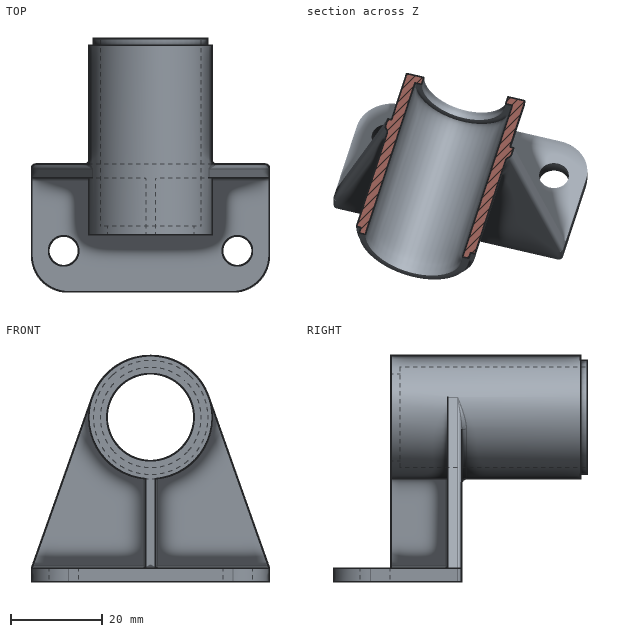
import cadquery as cq
import math

BASE_WIDTH = 52.0
BASE_DEPTH = 28.0
BASE_THICKNESS = 3.0
FRONT_CORNER_RADIUS = 8.0
REAR_EDGE_RADIUS = 1.0

HOLE_DIAMETER = 6.5
HOLE_SPACING = 38.0
HOLE_SETBACK = 9.0

TUBE_DIAMETER = 27.0
TUBE_AXIS_HEIGHT = 36.0
TUBE_FRONT_Y = -15.5
TUBE_REAR_Y = 26.0
SPIGOT_DIAMETER = 25.0
SPIGOT_LENGTH = 1.5
LIP_BORE_DIAMETER = 19.0
LIP_LENGTH = 2.0
MAIN_BORE_DIAMETER = 22.0

WEB_THICKNESS = 3.0
WEB_MEETING_ANGLE = 19.0
RIB_THICKNESS = 2.0
INNER_FILLET_RADIUS = 0.5
TUBE_FILLET_RADIUS = 1.0

MARGIN = 0.01

HALF_WIDTH = BASE_WIDTH / 2
TUBE_RADIUS = TUBE_DIAMETER / 2
SPIGOT_REAR_Y = TUBE_REAR_Y + SPIGOT_LENGTH


def y_cylinder(diameter, front_y, rear_y):
    """Solid cylinder on the tube axis between two Y positions, with its seam along the top."""
    seam_up = cq.Plane(origin=(0, front_y, TUBE_AXIS_HEIGHT), xDir=(0, 0, 1), normal=(0, 1, 0))
    return cq.Workplane(seam_up).circle(diameter / 2).extrude(rear_y - front_y)


def make_base():
    """Flat plate with large front corner rounds and small rear ones."""
    plate = (
        cq.Workplane("XY")
        .center(0, -BASE_DEPTH / 2)
        .rect(BASE_WIDTH, BASE_DEPTH)
        .extrude(BASE_THICKNESS)
    )
    plate = plate.edges("|Z and <Y").fillet(FRONT_CORNER_RADIUS)
    return plate.edges("|Z and >Y").fillet(REAR_EDGE_RADIUS)


def web_top_corner():
    """Point (x, z) on the tube where the web's right side runs into it, almost tangentially."""
    angle = math.radians(WEB_MEETING_ANGLE)
    corner_x = TUBE_RADIUS * math.cos(angle)
    corner_z = TUBE_AXIS_HEIGHT + TUBE_RADIUS * math.sin(angle)
    return corner_x, corner_z


def make_web():
    """Tapered upright with sides running into the tube and rounded rear side edges."""
    top_x, top_z = web_top_corner()
    web = (
        cq.Workplane("XZ")
        .moveTo(-HALF_WIDTH, BASE_THICKNESS)
        .lineTo(HALF_WIDTH, BASE_THICKNESS)
        .lineTo(top_x, top_z)
        .lineTo(-top_x, top_z)
        .close()
        .extrude(WEB_THICKNESS)
    )
    return web.faces(">Y").edges("not |X").fillet(REAR_EDGE_RADIUS)


def make_rib():
    """Central rib that carries the tube, flush with the tube's front face."""
    return (
        cq.Workplane("XY", origin=(0, TUBE_FRONT_Y / 2, BASE_THICKNESS))
        .rect(RIB_THICKNESS, -TUBE_FRONT_Y)
        .extrude(TUBE_AXIS_HEIGHT - BASE_THICKNESS)
    )


def edges_inside(body, low_corner, high_corner):
    """Edges lying wholly inside the box between two corners."""
    box = cq.selectors.BoxSelector(low_corner, high_corner, boundingbox=True)
    return body.edges(box)


def add_inner_fillets(body):
    """Fillet the front inside corners between web, rib and base plate."""
    web_front_y = -WEB_THICKNESS
    half_rib = RIB_THICKNESS / 2
    plate_top = BASE_THICKNESS
    foot_edges = edges_inside(
        body,
        (-HALF_WIDTH - MARGIN, TUBE_FRONT_Y - MARGIN, plate_top - MARGIN),
        (HALF_WIDTH + MARGIN, web_front_y + MARGIN, plate_top + MARGIN),
    )
    foot_edges = foot_edges.filter(lambda edge: edge.Center().y > TUBE_FRONT_Y + MARGIN)
    rib_root_edges = edges_inside(
        body,
        (-half_rib - MARGIN, web_front_y - MARGIN, plate_top - MARGIN),
        (half_rib + MARGIN, web_front_y + MARGIN, TUBE_AXIS_HEIGHT + MARGIN),
    ).filter(lambda edge: edge.Center().z < TUBE_AXIS_HEIGHT - MARGIN)
    return foot_edges.add(rib_root_edges).fillet(INNER_FILLET_RADIUS)


def add_tube_fillet(body):
    """Fillet the rear corner between web and tube, running out along the web's rounded sides."""
    _, top_z = web_top_corner()
    tube_bottom = TUBE_AXIS_HEIGHT - TUBE_RADIUS
    corner_edges = edges_inside(
        body,
        (-TUBE_RADIUS - MARGIN, -REAR_EDGE_RADIUS - MARGIN, tube_bottom - MARGIN),
        (TUBE_RADIUS + MARGIN, MARGIN, top_z + MARGIN),
    )
    return corner_edges.fillet(TUBE_FILLET_RADIUS)


def make_bore():
    """Stepped bore tool, narrower at the front so that a lip remains."""
    lip_bore = y_cylinder(LIP_BORE_DIAMETER, TUBE_FRONT_Y, SPIGOT_REAR_Y)
    return lip_bore.union(y_cylinder(MAIN_BORE_DIAMETER, TUBE_FRONT_Y + LIP_LENGTH, SPIGOT_REAR_Y))


def cut_mounting_holes(body):
    """Two through holes in the front part of the base plate."""
    hole_y = HOLE_SETBACK - BASE_DEPTH
    holes = (
        cq.Workplane("XY")
        .pushPoints([(-HOLE_SPACING / 2, hole_y), (HOLE_SPACING / 2, hole_y)])
        .circle(HOLE_DIAMETER / 2)
        .extrude(BASE_THICKNESS)
    )
    return body.cut(holes)


bracket = make_base().union(make_web()).union(make_rib())
bracket = add_inner_fillets(bracket)
bracket = bracket.union(y_cylinder(TUBE_DIAMETER, TUBE_FRONT_Y, TUBE_REAR_Y))
bracket = bracket.union(y_cylinder(SPIGOT_DIAMETER, TUBE_REAR_Y, SPIGOT_REAR_Y))
bracket = bracket.cut(make_bore())
bracket = add_tube_fillet(bracket)
result = cut_mounting_holes(bracket)